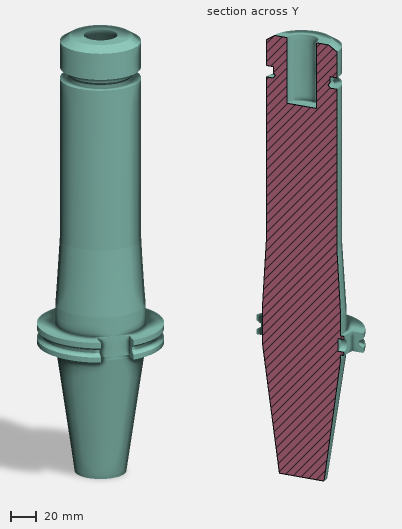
import cadquery as cq

total_height = 355.5
gauge_height = 101.7
flange_bottom = 105.0
flange_thickness = 16.0
flange_top = flange_bottom + flange_thickness
collar_top = 137.0
cone_top = 190.2
shoulder_height = 320.8
neck_groove_height = 323.0
neck_bottom = 325.0
nut_bottom = 329.5
nut_chamfer_height = 4.5

gauge_radius = 69.7 / 2
taper_per_length = 7 / 24
tip_radius = gauge_radius - gauge_height * taper_per_length / 2
flange_radius = 98.5 / 2
body_radius = 63.0 / 2
neck_radius = 51.0 / 2
neck_groove_radius = 47.3 / 2
nut_face_radius = 48.0 / 2

groove_depth = 4.0
groove_opening = 7.5
groove_floor = 2.5
groove_middle = flange_top - 8.2

bore_diameter = 26.0
bore_depth = 53.5
slot_width = 26.0
deep_slot_floor = 37.7
shallow_slot_floor = 35.2
slot_hole_diameter = 10.0
slot_hole_depth = 5.5


def turned_body():
    """Taper shank, grooved flange, extension and clamping nut in one revolve."""
    groove_radius = flange_radius - groove_depth
    profile = [
        (0, 0),
        (tip_radius, 0),
        (gauge_radius, gauge_height),
        (gauge_radius, flange_bottom),
        (flange_radius, flange_bottom),
        (flange_radius, groove_middle - groove_opening / 2),
        (groove_radius, groove_middle - groove_floor / 2),
        (groove_radius, groove_middle + groove_floor / 2),
        (flange_radius, groove_middle + groove_opening / 2),
        (flange_radius, flange_top),
        (gauge_radius, flange_top),
        (gauge_radius, collar_top),
        (body_radius, cone_top),
        (body_radius, shoulder_height),
        (neck_radius, shoulder_height),
        (neck_groove_radius, neck_groove_height),
        (neck_radius, neck_bottom),
        (neck_radius, nut_bottom),
        (body_radius, nut_bottom),
        (body_radius, total_height - nut_chamfer_height),
        (nut_face_radius, total_height),
        (0, total_height),
    ]
    return cq.Workplane("XZ").polyline(profile).close().revolve(360, (0, 0), (0, 1))


def drive_slot(side, floor):
    """Cutter for a slot through the flange on the given X side (-1 or 1)."""
    cutter = cq.Workplane("XY").box(flange_radius, slot_width, flange_thickness)
    slot_center = side * (floor + flange_radius / 2)
    return cutter.translate((slot_center, 0, flange_bottom + flange_thickness / 2))


def slot_hole():
    """Cutter for the blind hole in the floor of the deeper slot."""
    hole_height = flange_bottom + flange_thickness / 2
    plane = cq.Workplane("YZ", origin=(-deep_slot_floor, 0, hole_height))
    return plane.circle(slot_hole_diameter / 2).extrude(slot_hole_depth)


def collet_bore():
    """Cutter for the blind bore in the nut face."""
    plane = cq.Workplane("XY").workplane(offset=total_height - bore_depth)
    return plane.circle(bore_diameter / 2).extrude(bore_depth)


result = (
    turned_body()
    .cut(drive_slot(-1, deep_slot_floor))
    .cut(drive_slot(1, shallow_slot_floor))
    .cut(slot_hole())
    .cut(collet_bore())
)